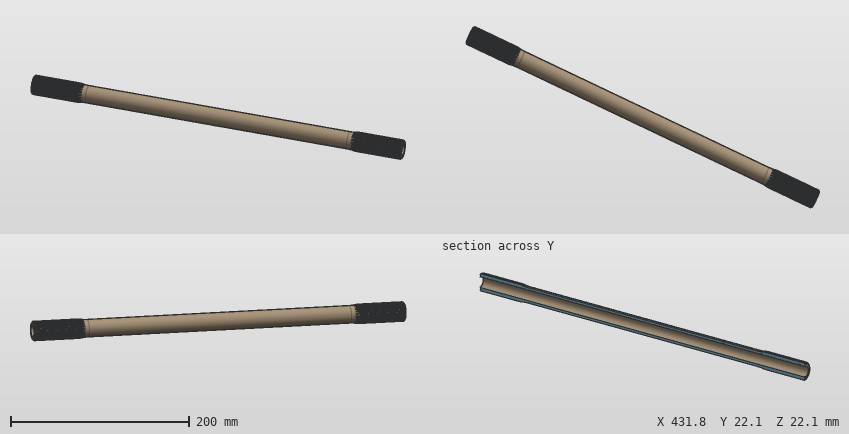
import cadquery as cq
import math

length = 431.8
bore_diameter = 12.7
body_diameter = 20.0

tooth_count = 20
major_diameter = 22.1
root_diameter = 20.6
tip_width_share = 0.30
root_width_share = 0.62
flank_overrun = 0.3

chamfer_size = 1.5

flare_radius = 45.0
flare_end = 63.5
space_overrun = 1.8
space_length = flare_end + space_overrun

half_length = length / 2
major_radius = major_diameter / 2
root_radius = root_diameter / 2
body_radius = body_diameter / 2
pitch_angle = 2 * math.pi / tooth_count


def polar(radius, angle):
    """Point in the cross-section at a radius and an angle."""
    return (radius * math.cos(angle), radius * math.sin(angle))


def blank():
    """Turned shaft before the teeth are cut: thick ends swept down to a thinner body by tangent arcs."""
    small_end = half_length - flare_end
    rise = major_radius - body_radius
    run = math.sqrt(2 * flare_radius * rise - rise**2)
    large_end = small_end + run
    chamfer_start = half_length - chamfer_size
    face_radius = major_radius - chamfer_size
    mid_run = run / 2
    mid_radius = body_radius + flare_radius - math.sqrt(flare_radius**2 - mid_run**2)
    mid_flare = small_end + mid_run
    return (
        cq.Workplane("XY")
        .moveTo(-half_length, 0)
        .lineTo(-half_length, -face_radius)
        .lineTo(-chamfer_start, -major_radius)
        .lineTo(-large_end, -major_radius)
        .threePointArc((-mid_flare, -mid_radius), (-small_end, -body_radius))
        .lineTo(small_end, -body_radius)
        .threePointArc((mid_flare, -mid_radius), (large_end, -major_radius))
        .lineTo(chamfer_start, -major_radius)
        .lineTo(half_length, -face_radius)
        .lineTo(half_length, 0)
        .close()
        .revolve(360, (0, 0, 0), (1, 0, 0))
    )


def tooth_spaces():
    """Straight-flanked, arc-floored cutters between the teeth at +X, running out through the flare."""
    half_floor = (1 - root_width_share) * pitch_angle / 2
    half_mouth = (1 - tip_width_share) * pitch_angle / 2
    floor_left = polar(root_radius, half_floor)
    floor_right = polar(root_radius, -half_floor)
    tip_left = polar(major_radius, half_mouth)
    outer_left = (
        tip_left[0] + flank_overrun * (tip_left[0] - floor_left[0]),
        tip_left[1] + flank_overrun * (tip_left[1] - floor_left[1]),
    )
    outer_right = (outer_left[0], -outer_left[1])
    space = (
        cq.Workplane("YZ", origin=(half_length - space_length, 0, 0))
        .moveTo(*floor_right)
        .lineTo(*outer_right)
        .lineTo(*outer_left)
        .lineTo(*floor_left)
        .threePointArc((root_radius, 0), floor_right)
        .close()
        .extrude(space_length)
    )
    pitch_degrees = 360 / tooth_count
    cutters = cq.Workplane("XY")
    for index in range(tooth_count):
        cutters = cutters.add(space.rotate((0, 0, 0), (1, 0, 0), (index + 0.5) * pitch_degrees))
    return cutters.combine()


def bore():
    """Through hole along the shaft axis."""
    return cq.Workplane("YZ", origin=(-half_length, 0, 0)).circle(bore_diameter / 2).extrude(length)


spaces = tooth_spaces()
result = blank().cut(bore()).cut(spaces).cut(spaces.mirror("YZ"))